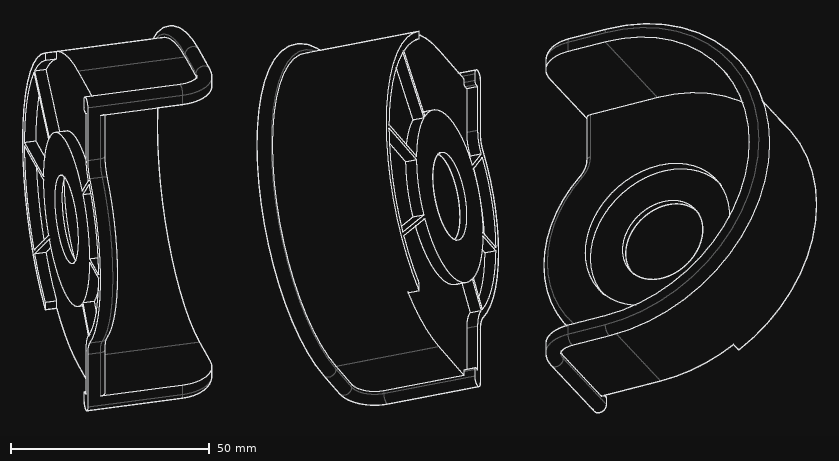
import cadquery as cq
import math

outer_radius = 45.0
height = 34.7
thickness = 1.9
wall_radius = 42.3
wall_inner_radius = wall_radius - thickness

bead_width = 2 * thickness
bead_radius = bead_width / 2
bead_corner_radius = 0.8
bend_radius = 10.0
front_x = 20.4
bend_x = front_x - bend_radius
bend_y = height - bend_radius

recess_depth = 3.0
floor_top = recess_depth + thickness
lobe_radius = 32.5
lobe_blend_radius = 5.85
lobe_edge_round = 1.6
rim_end_x = -20.4

margin = 0.1

hub_radius = 22.1
bore_radius = 11.25
rib_width = 1.0
long_rib_angles = (140, 180, 220)
short_rib_angles = (-46, 0, 46)


def prism(sketch, y_start, y_end):
    """Extrude a sketch drawn at Y = 0 between two Y levels."""
    return sketch.extrude(-(y_end - y_start)).translate((0, y_start, 0))


def xz():
    """XZ sketch plane through the hub axis origin."""
    return cq.Workplane("XZ")


def block(x_start, x_end, y_start, y_end, z_half):
    """Box centred on Z = 0."""
    size = (x_end - x_start, y_end - y_start, 2 * z_half)
    return cq.Workplane("XY").box(*size, centered=(False, False, True)).translate((x_start, y_start, 0))


def d_outline(radius, end_x):
    """Half circle on the -X side, continued straight to end_x."""
    return (
        xz().moveTo(end_x, radius).lineTo(0, radius)
        .threePointArc((-radius, 0), (0, -radius)).lineTo(end_x, -radius).close()
    )


def floor_outline():
    """D shape whose straight side carries the lobe, joined by tangent blends."""
    centre_distance = lobe_radius + lobe_blend_radius
    blend_x = front_x + lobe_blend_radius
    blend_z = math.sqrt(centre_distance**2 - blend_x**2)
    join_x = blend_x * lobe_radius / centre_distance
    join_z = blend_z * lobe_radius / centre_distance
    mid_angle = (math.pi + math.atan2(join_z - blend_z, join_x - blend_x) % (2 * math.pi)) / 2
    mid_x = blend_x + lobe_blend_radius * math.cos(mid_angle)
    mid_z = blend_z + lobe_blend_radius * math.sin(mid_angle)
    return (
        xz().moveTo(0, wall_radius)
        .threePointArc((-wall_radius, 0), (0, -wall_radius))
        .lineTo(front_x, -wall_radius).lineTo(front_x, -blend_z)
        .threePointArc((mid_x, -mid_z), (join_x, -join_z))
        .threePointArc((lobe_radius, 0), (join_x, join_z))
        .threePointArc((mid_x, mid_z), (front_x, blend_z))
        .lineTo(front_x, wall_radius).close()
    )


def make_floor():
    """Floor plate and the interrupted rim below it."""
    plate = prism(floor_outline(), 0, floor_top)
    top_edges = cq.selectors.BoxSelector(
        (front_x - margin, floor_top - margin, -wall_radius),
        (lobe_radius + margin, floor_top + margin, wall_radius),
    )
    plate = plate.edges(top_edges).fillet(lobe_edge_round)
    recess = prism(floor_outline().offset2D(-thickness), 0, recess_depth)
    rim_gap = block(rim_end_x, front_x - thickness, 0, recess_depth, outer_radius)
    return plate.cut(recess).cut(rim_gap)


def make_wall():
    """Wall around the closed side, ending on the centre line of the bead."""
    end_x = front_x - bead_radius
    top_y = height - bead_radius
    wall = prism(d_outline(wall_radius, end_x), recess_depth, top_y)
    wall = wall.cut(prism(d_outline(wall_inner_radius, end_x + margin), recess_depth, top_y))
    trim = block(-outer_radius, end_x, 0, top_y, outer_radius)
    trim = trim.edges("|Z and >X and >Y").fillet(bend_radius - bead_radius)
    return wall.intersect(trim)


def bead_section(plane):
    """Bead section: local x runs away from the opening, local y runs outward from the inner wall."""
    straight_end = outer_radius - bead_radius
    diagonal = bead_corner_radius * (1 - math.sqrt(0.5))
    return (
        cq.Workplane(plane).moveTo(0, wall_inner_radius).lineTo(0, straight_end)
        .threePointArc((bead_radius, outer_radius), (bead_width, straight_end))
        .lineTo(bead_width, wall_inner_radius + bead_corner_radius)
        .threePointArc(
            (bead_width - diagonal, wall_inner_radius + diagonal),
            (bead_width - bead_corner_radius, wall_inner_radius),
        ).close()
    )


def make_bead():
    """Half-ring over the closed side, then a straight, a bend and a leg on each end."""
    rim_plane = cq.Plane((0, height, 0), (0, -1, 0), (-1, 0, 0))
    bend_plane = cq.Plane((bend_x, height, 0), (0, -1, 0), (-1, 0, 0))
    leg_plane = cq.Plane((front_x, 0, 0), (-1, 0, 0), (0, 1, 0))
    ring = bead_section(rim_plane).revolve(180, (0, 0, 0), (1, 0, 0))
    straight = bead_section(rim_plane).extrude(-bend_x)
    bend = bead_section(bend_plane).revolve(90, (bend_radius, 0, 0), (bend_radius, -1, 0))
    leg = bead_section(leg_plane).extrude(bend_y)
    side = straight.union(bend).union(leg)
    return ring.union(side).union(side.mirror("XY"))


def make_ribs():
    """Radial ribs from the hub to the rim, level with the hub face."""
    ribs = prism(xz().circle(hub_radius), 0, floor_top)
    for angles, end_radius in (
        (long_rib_angles, wall_inner_radius + thickness / 2),
        (short_rib_angles, lobe_radius - thickness / 2),
    ):
        for angle in angles:
            rib = block(0, end_radius, 0, recess_depth, rib_width / 2)
            ribs = ribs.union(rib.rotate((0, 0, 0), (0, 1, 0), -angle))
    return ribs


hub_pocket = prism(xz().circle(hub_radius - thickness), thickness, floor_top)
bore = prism(xz().circle(bore_radius), 0, floor_top)
result = make_floor().union(make_wall()).union(make_bead()).union(make_ribs()).cut(hub_pocket).cut(bore)